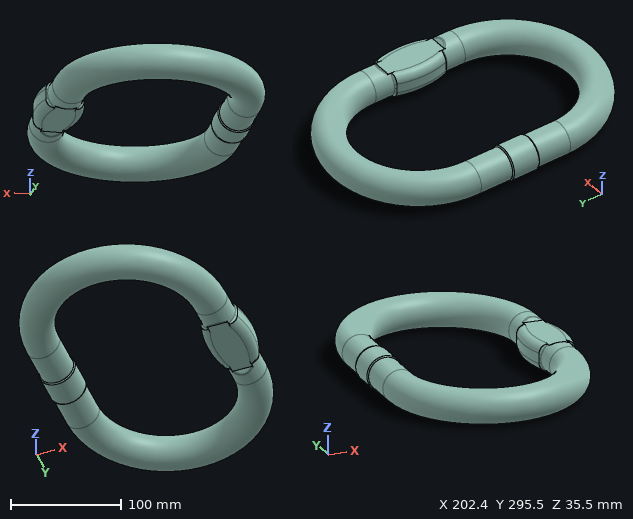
import cadquery as cq
import math

bar_diameter = 33.0
bar_radius = bar_diameter / 2
link_length = 295.5
straight_length = 100.0
half_straight = straight_length / 2
bend_radius = (link_length - straight_length) / 2 - bar_radius

collar_diameter = 35.5
collar_length = 30.2
collar_chamfer = 1.15

pad_width = 44.3
pad_end_width = 35.5
pad_length = 55.3
pad_thickness = 26.5
pad_edge_radius = 8.3
pad_seam_radius = 1.8

recess_width = 22.0
recess_length = 63.3
recess_end_slope = 4.0
recess_rim_radius = 1.8
recess_depth = bar_radius - pad_thickness / 2
recess_corner_radius = 2.5


def make_link():
    """Sweep the round bar along the closed oval centre line."""
    path = (
        cq.Workplane("XY")
        .moveTo(-bend_radius, 0)
        .lineTo(-bend_radius, half_straight)
        .threePointArc((0, half_straight + bend_radius), (bend_radius, half_straight))
        .lineTo(bend_radius, -half_straight)
        .threePointArc((0, -half_straight - bend_radius), (-bend_radius, -half_straight))
        .close()
    )
    return cq.Workplane("XZ", origin=(-bend_radius, 0, 0)).circle(bar_radius).sweep(path)


def make_collar():
    """Turn a ring-shaped thickening with chamfered ends."""
    return (
        cq.Workplane("XZ", origin=(-bend_radius, 0, 0))
        .circle(collar_diameter / 2)
        .extrude(collar_length / 2, both=True)
        .edges("%CIRCLE")
        .chamfer(collar_chamfer)
    )


def make_pad():
    """Barrel-outlined block whose curved sides are rounded into its flat faces."""
    half_length = pad_length / 2
    half_end = pad_end_width / 2
    return (
        cq.Workplane("XY", origin=(bend_radius, 0, 0))
        .moveTo(-half_end, -half_length)
        .lineTo(half_end, -half_length)
        .threePointArc((pad_width / 2, 0), (half_end, half_length))
        .lineTo(-half_end, half_length)
        .threePointArc((-pad_width / 2, 0), (-half_end, -half_length))
        .close()
        .extrude(pad_thickness / 2, both=True)
        .edges("%CIRCLE")
        .fillet(pad_edge_radius)
    )


def make_recess():
    """Cutter with sloped ends that opens upward from the flat face of the pad."""
    mouth_length = recess_length + 2 * recess_end_slope
    floor = cq.Sketch().rect(recess_width, recess_length).vertices().fillet(recess_corner_radius)
    mouth = cq.Sketch().rect(recess_width, mouth_length).vertices().fillet(recess_corner_radius)
    return (
        cq.Workplane("XY", origin=(bend_radius, 0, pad_thickness / 2))
        .placeSketch(floor, mouth.moved(cq.Location(cq.Vector(0, 0, recess_depth))))
        .loft()
    )


def is_pad_end_seam(edge):
    """True for an arc lying in one of the two end planes of the pad."""
    return math.isclose(abs(edge.Center().y), pad_length / 2, abs_tol=0.03)


padded_link = make_link().union(make_pad())
padded_link = padded_link.edges("%CIRCLE").filter(is_pad_end_seam).fillet(pad_seam_radius)

top_recess = make_recess()
bottom_recess = top_recess.mirror("XY")
recessed_link = padded_link.cut(top_recess).cut(bottom_recess)
recessed_link = recessed_link.edges("%ELLIPSE").fillet(recess_rim_radius)

result = recessed_link.union(make_collar())